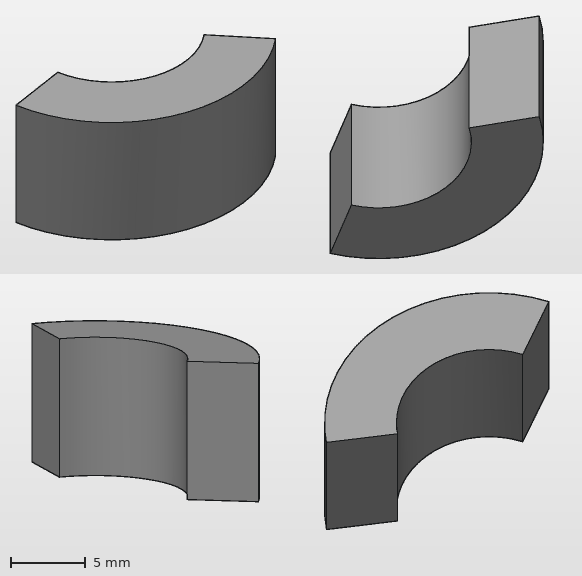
import cadquery as cq
import math

outer_chord = 19.05
inner_radius = 6.2
height = 9.5
half_angle = math.radians(60.0)

outer_radius = outer_chord / (2 * math.sin(half_angle))


def arc_point(radius, angle):
    """Point on a circle about the ring axis, with the angle measured from +X."""
    return (radius * math.cos(angle), radius * math.sin(angle))


result = (
    cq.Workplane("XY")
    .moveTo(*arc_point(inner_radius, -half_angle))
    .lineTo(*arc_point(outer_radius, -half_angle))
    .threePointArc(arc_point(outer_radius, 0), arc_point(outer_radius, half_angle))
    .lineTo(*arc_point(inner_radius, half_angle))
    .threePointArc(arc_point(inner_radius, 0), arc_point(inner_radius, -half_angle))
    .close()
    .extrude(height)
)